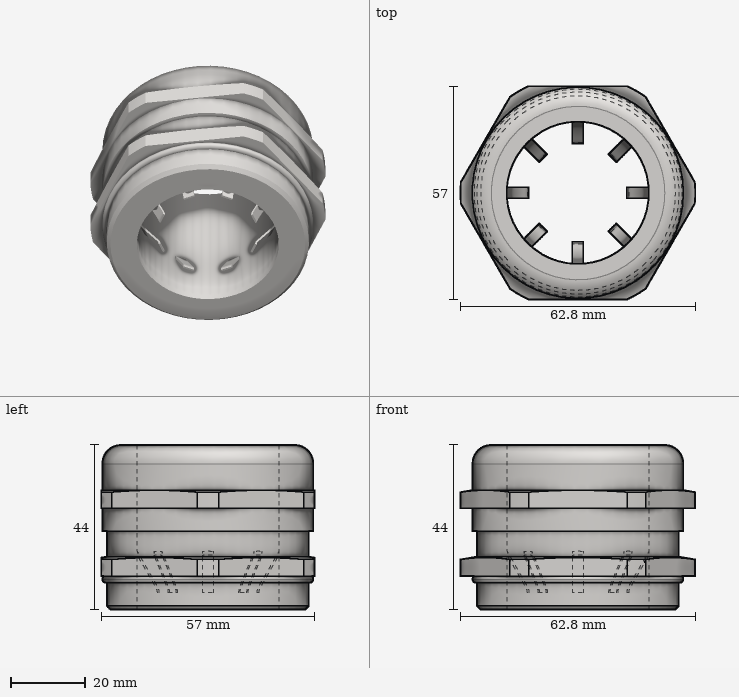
import cadquery as cq
import math

height = 44.0
bore_radius = 18.95

body_radius = 27.0
body_chamfer = 1.0

cap_radius = 28.2
cap_bottom = 21.0
cap_fillet = 5.0

across_flats = 57.0
corner_radius = 31.4
collar_slope = 10
lower_collar_bottom = 9.0
lower_collar_height = 5.2
upper_collar_bottom = 27.05
upper_collar_height = 4.9

ring_section_radius = 1.0
ring_center_radius = cap_radius - ring_section_radius
ring_center_height = 8.15

finger_count = 8
finger_width = 3.0
finger_thickness = 0.5
finger_tip_radius = 13.05
finger_bend_radius = 3.15
finger_slope = 60
finger_root_height = 15.7
finger_embed = 1.25


def cylinder(radius, bottom, top):
    return cq.Workplane("XY").workplane(offset=bottom).circle(radius).extrude(top - bottom)


def hex_collar(bottom, collar_height, seat_radius):
    """Hexagon whose top falls as a cone from full height at the seat radius."""
    hexagon = (
        cq.Workplane("XY")
        .transformed(offset=(0, 0, bottom), rotate=(0, 0, 30))
        .polygon(6, across_flats, circumscribed=True)
        .extrude(collar_height)
    )
    top = bottom + collar_height
    edge_top = top - (corner_radius - seat_radius) * math.tan(math.radians(collar_slope))
    envelope = (
        cq.Workplane("XZ")
        .moveTo(0, bottom)
        .lineTo(corner_radius, bottom)
        .lineTo(corner_radius, edge_top)
        .lineTo(seat_radius, top)
        .lineTo(0, top)
        .close()
        .revolve(360, (0, 0), (0, 1))
    )
    return hexagon.intersect(envelope)


def sealing_ring():
    return (
        cq.Workplane("XZ")
        .center(ring_center_radius, ring_center_height)
        .circle(ring_section_radius)
        .revolve(360, (-ring_center_radius, 0), (-ring_center_radius, 1))
    )


def spring_finger():
    """Sloping strip on the +X side whose tip bends down to vertical."""
    slope = math.radians(finger_slope)
    bend_mid = (slope + math.pi / 2) / 2
    bend_x = finger_tip_radius + finger_bend_radius
    bend_start_x = bend_x - finger_bend_radius * math.sin(slope)
    bend_start_z = finger_root_height - (bore_radius - bend_start_x) * math.tan(slope)
    bend_z = bend_start_z - finger_bend_radius * math.cos(slope)
    root_x = bore_radius + finger_embed
    root_z = finger_root_height + finger_embed * math.tan(slope)
    inner_bend_radius = finger_bend_radius - finger_thickness

    def on_bend(radius, angle):
        return (bend_x - radius * math.sin(angle), bend_z + radius * math.cos(angle))

    return (
        cq.Workplane("XZ")
        .moveTo(root_x, root_z)
        .lineTo(*on_bend(finger_bend_radius, slope))
        .threePointArc(on_bend(finger_bend_radius, bend_mid), on_bend(finger_bend_radius, math.pi / 2))
        .lineTo(*on_bend(inner_bend_radius, math.pi / 2))
        .threePointArc(on_bend(inner_bend_radius, bend_mid), on_bend(inner_bend_radius, slope))
        .lineTo(root_x, root_z - finger_thickness / math.cos(slope))
        .close()
        .extrude(finger_width / 2, both=True)
    )


body = cylinder(body_radius, 0, cap_bottom).faces("<Z").edges().chamfer(body_chamfer)
cap = cylinder(cap_radius, cap_bottom, height).faces(">Z").edges().fillet(cap_fillet)

shell = (
    body.union(cap)
    .union(hex_collar(lower_collar_bottom, lower_collar_height, body_radius))
    .union(hex_collar(upper_collar_bottom, upper_collar_height, cap_radius))
    .union(sealing_ring())
    .cut(cylinder(bore_radius, 0, height))
)

result = shell
for index in range(finger_count):
    turn = index * 360 / finger_count
    result = result.union(spring_finger().rotate((0, 0, 0), (0, 0, 1), turn))